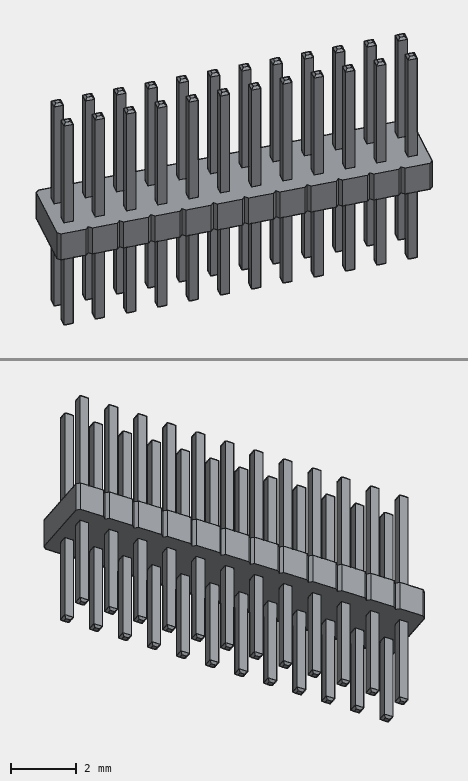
import cadquery as cq

length = 12.0
positions = 12
rows = 2
pitch = length / positions

body_width = 2.3
body_height = pitch
corner_chamfer = 0.1

pin_side = 0.3
pin_below = 3.0
pin_length = 7.8
tip_chamfer = pin_side / 4


def make_body():
    """Insulating bar with bevelled corners, its underside on Z = 0."""
    bar = cq.Workplane("XY").box(body_width, length, body_height, centered=(True, True, False))
    return bar.edges("|Z").chamfer(corner_chamfer)


def make_notches():
    """Square prisms standing on their corners; their inner halves cut the V notches between positions."""
    notch_points = []
    for side in (-1, 1):
        for gap in range(1, positions):
            notch_points.append((side * body_width / 2, gap * pitch - length / 2))
    return (
        cq.Workplane("XY")
        .pushPoints(notch_points)
        .polygon(4, 2 * corner_chamfer)
        .extrude(body_height)
    )


def make_pins():
    """Square pins through the body, bevelled at both ends."""
    pin = (
        cq.Workplane("XY")
        .box(pin_side, pin_side, pin_length, centered=(True, True, False))
        .faces("|Z")
        .chamfer(tip_chamfer)
        .translate((0, 0, -pin_below))
    )
    return (
        cq.Workplane("XY")
        .rarray(pitch, pitch, rows, positions)
        .eachpoint(pin.val(), combine=True)
    )


result = make_body().cut(make_notches()).union(make_pins())